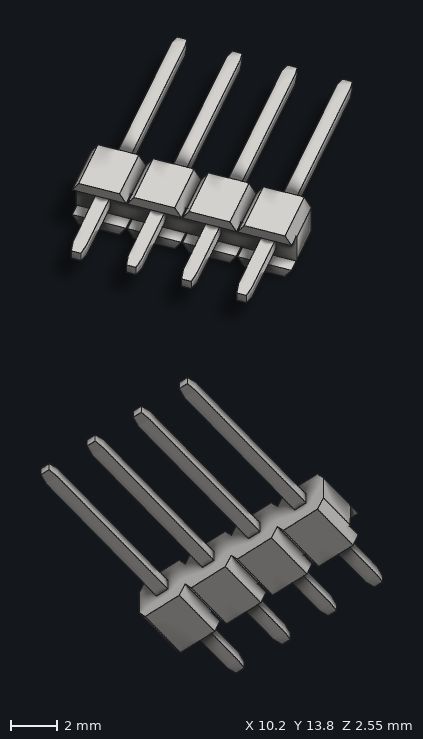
import cadquery as cq


pin_count = 4
row_length = 10.16
pitch = row_length / pin_count
housing_height = 2.55
housing_depth = 2.5
side_height = 1.46
top_width = 1.88

slot_height = 1.54
slot_depth = 0.6

pin_length = 13.75
pin_width = 0.63
pin_front_reach = 3.0
tip_length = 0.5
tip_width = 0.45


def housing_cell(center_x):
    """One octagonal cell of the housing, running back from the front face."""
    half_corner = [
        (pitch / 2, side_height / 2),
        (top_width / 2, housing_height / 2),
    ]
    upper = half_corner + [(-x, z) for x, z in reversed(half_corner)]
    lower = [(-x, -z) for x, z in upper]
    return (
        cq.Workplane("XZ", origin=(center_x, 0, 0))
        .polyline(upper + lower)
        .close()
        .extrude(-housing_depth)
    )


def tapered_tip(center_x, base_y, direction):
    """Pyramid-shaped pin end; direction is +1 towards +Y or -1 towards -Y."""
    base_plane = cq.Plane(origin=(center_x, base_y, 0), xDir=(1, 0, 0), normal=(0, direction, 0))
    return (
        cq.Workplane(base_plane)
        .rect(pin_width, pin_width)
        .workplane(offset=tip_length)
        .rect(tip_width, tip_width)
        .loft(ruled=True)
    )


def pin(center_x):
    """Square pin with a tapered tip at each end."""
    shank_front = -pin_front_reach + tip_length
    shank_length = pin_length - 2 * tip_length
    shank_back = shank_front + shank_length
    shank = (
        cq.Workplane("XZ", origin=(center_x, shank_front, 0))
        .rect(pin_width, pin_width)
        .extrude(-shank_length)
    )
    front_tip = tapered_tip(center_x, shank_front, -1)
    back_tip = tapered_tip(center_x, shank_back, 1)
    return shank.union(front_tip).union(back_tip)


pin_positions = [(i - (pin_count - 1) / 2) * pitch for i in range(pin_count)]

housing = housing_cell(pin_positions[0])
for position in pin_positions[1:]:
    housing = housing.union(housing_cell(position))

slot = cq.Workplane("XY").box(row_length, slot_depth, slot_height, centered=(True, False, True))
result = housing.cut(slot)

for position in pin_positions:
    result = result.union(pin(position))